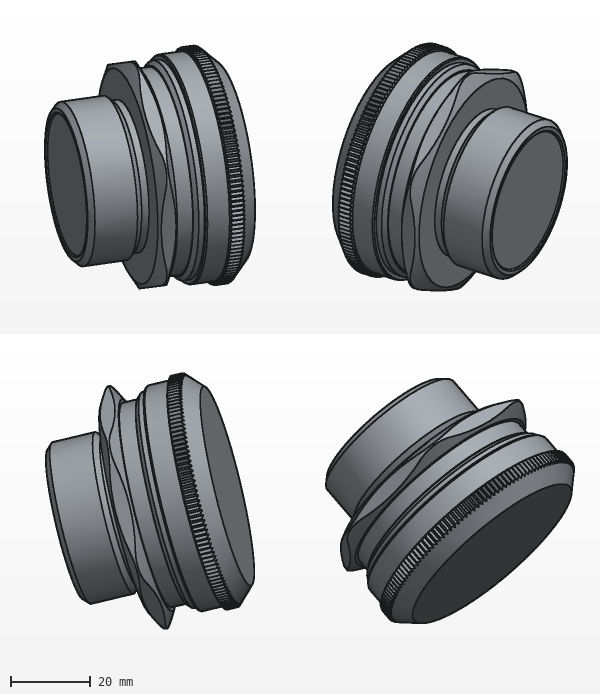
import cadquery as cq
import math


SPIGOT_REAR = 12.6
NECK_FRONT = 14.1
NUT_FRONT = 16.05
NUT_THICKNESS = 5.1
STEP_FRONT = 25.45
FLANGE_FRONT = 28.1
CAP_FRONT = 34.3
OVERALL_LENGTH = 42.0

SPIGOT_DIAMETER = 41.9
NECK_DIAMETER = 38.95
BODY_DIAMETER = 53.0
STEP_DIAMETER = 56.0
FLANGE_DIAMETER = 58.5
CAP_DIAMETER = 60.5

STEP_CHAMFER = 1.1
FLANGE_BEVEL_LENGTH = 0.45
FLANGE_BEVEL_DEPTH = 0.25
CAP_BEVEL_LENGTH = 0.45
CAP_CHAMFER = 4.45

RECESS_DIAMETER = 36.85
RECESS_DEPTH = 0.4

NUT_SIDES = 6
NUT_ACROSS_FLATS = 56.9
NUT_ACROSS_CORNERS = 62.7
NUT_FACE_DIAMETER = 54.8
NUT_CHAMFER_ANGLE = 30.0

TOOTH_COUNT = 144
TOOTH_DEPTH = 0.7

NUT_REAR = NUT_FRONT + NUT_THICKNESS


def turned(profile):
    """Revolve a closed (radius, y) profile about the Y axis."""
    return cq.Workplane("XY").polyline(profile).close().revolve(360, (0, 0, 0), (0, 1, 0))


def make_spigot():
    radius = SPIGOT_DIAMETER / 2
    neck_radius = NECK_DIAMETER / 2
    end_chamfer = radius - neck_radius
    recess_radius = RECESS_DIAMETER / 2
    return turned([
        (0, RECESS_DEPTH),
        (recess_radius - RECESS_DEPTH, RECESS_DEPTH),
        (recess_radius, 0),
        (neck_radius, 0),
        (radius, end_chamfer),
        (radius, SPIGOT_REAR),
        (neck_radius, NECK_FRONT),
        (neck_radius, NUT_REAR),
        (0, NUT_REAR),
    ])


def make_nut():
    half_side_angle = math.pi / NUT_SIDES
    apothem = NUT_ACROSS_FLATS / 2
    corner_radius = NUT_ACROSS_CORNERS / 2
    sharp_corner_radius = apothem / math.cos(half_side_angle)
    corner_fillet = (sharp_corner_radius - corner_radius) / (1 / math.cos(half_side_angle) - 1)
    hexagon = (
        cq.Workplane("XZ", origin=(0, NUT_FRONT, 0))
        .transformed(rotate=(0, 0, 90))
        .polygon(NUT_SIDES, 2 * sharp_corner_radius)
        .extrude(-NUT_THICKNESS)
        .edges("|Y")
        .fillet(corner_fillet)
    )
    face_radius = NUT_FACE_DIAMETER / 2
    cone_height = NUT_THICKNESS / 2
    cone_radius = face_radius + cone_height / math.tan(math.radians(NUT_CHAMFER_ANGLE))
    double_cone = turned([
        (0, NUT_FRONT),
        (face_radius, NUT_FRONT),
        (cone_radius, NUT_FRONT + cone_height),
        (face_radius, NUT_REAR),
        (0, NUT_REAR),
    ])
    return hexagon.intersect(double_cone)


def make_body():
    body_radius = BODY_DIAMETER / 2
    step_radius = STEP_DIAMETER / 2
    flange_radius = FLANGE_DIAMETER / 2
    return turned([
        (0, NUT_REAR),
        (body_radius, NUT_REAR),
        (body_radius, STEP_FRONT),
        (step_radius - STEP_CHAMFER, STEP_FRONT),
        (step_radius, STEP_FRONT + STEP_CHAMFER),
        (step_radius, FLANGE_FRONT),
        (flange_radius - FLANGE_BEVEL_DEPTH, FLANGE_FRONT),
        (flange_radius, FLANGE_FRONT + FLANGE_BEVEL_LENGTH),
        (flange_radius, CAP_FRONT),
        (0, CAP_FRONT),
    ])


def make_cap():
    tip_radius = CAP_DIAMETER / 2
    blank = turned([
        (0, CAP_FRONT),
        (FLANGE_DIAMETER / 2, CAP_FRONT),
        (tip_radius, CAP_FRONT + CAP_BEVEL_LENGTH),
        (tip_radius, OVERALL_LENGTH - CAP_CHAMFER),
        (tip_radius - CAP_CHAMFER, OVERALL_LENGTH),
        (0, OVERALL_LENGTH),
    ])
    outline = []
    for i in range(2 * TOOTH_COUNT):
        angle = math.pi * i / TOOTH_COUNT
        radius = tip_radius if i % 2 else tip_radius - TOOTH_DEPTH
        outline.append((radius * math.cos(angle), radius * math.sin(angle)))
    teeth = (
        cq.Workplane("XZ", origin=(0, CAP_FRONT, 0))
        .polyline(outline)
        .close()
        .extrude(CAP_FRONT - OVERALL_LENGTH)
    )
    return blank.intersect(teeth)


result = make_spigot().union(make_nut()).union(make_body()).union(make_cap())